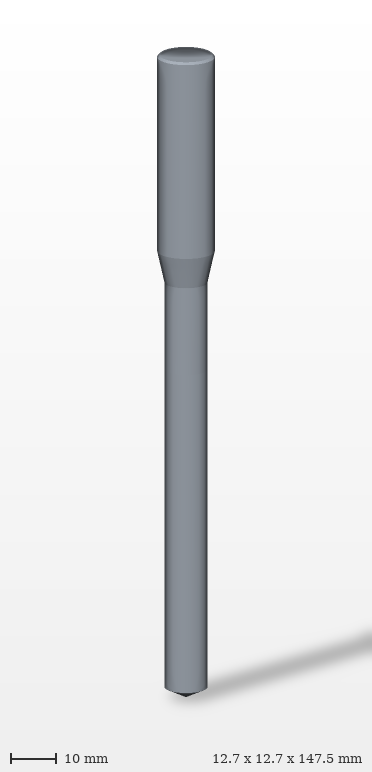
import cadquery as cq
import math

overall_length = 147.5
shank_diameter = 12.7
neck_diameter = 9.5
shank_length = 45.0
taper_length = 7.2
neck_length = 20.0
top_chamfer = 0.5
point_angle = 127.0

shank_radius = shank_diameter / 2
neck_radius = neck_diameter / 2
point_height = neck_radius / math.tan(math.radians(point_angle / 2))
taper_top = overall_length - shank_length
taper_bottom = taper_top - taper_length
joint_height = taper_bottom - neck_length


def revolve_profile(points):
    """Turn a closed radius-height outline around the Z axis into a solid."""
    return cq.Workplane("XZ").polyline(points).close().revolve(360, (0, 0, 0), (0, 1, 0))


def make_shank():
    """Chamfered grip that tapers down to the neck."""
    return revolve_profile([
        (0, joint_height),
        (neck_radius, joint_height),
        (neck_radius, taper_bottom),
        (shank_radius, taper_top),
        (shank_radius, overall_length - top_chamfer),
        (shank_radius - top_chamfer, overall_length),
        (0, overall_length),
    ])


def make_cutting_rod():
    """Straight rod with a conical point, butted against the end of the neck."""
    return revolve_profile([
        (0, 0),
        (neck_radius, point_height),
        (neck_radius, joint_height),
        (0, joint_height),
    ])


shank = make_shank()
cutting_rod = make_cutting_rod()

result = cq.Compound.makeCompound([shank.val(), cutting_rod.val()])